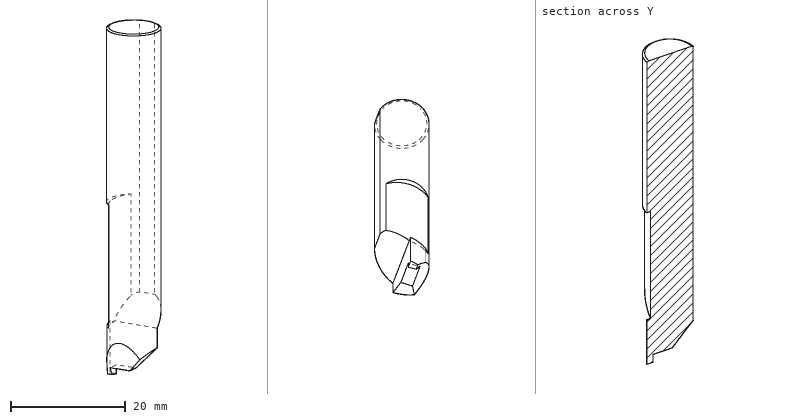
import cadquery as cq
import math

shank_diameter = 9.525
shank_radius = shank_diameter / 2
overall_length = 63.5
locating_flat_depth = 0.255
top_chamfer_height = 0.22
top_chamfer_width = 0.4

cutting_end_length = 9.525

relief_bottom = 9.37
relief_top = 31.75
relief_depth = 0.75
relief_radius = 6.7

tip_width = 1.27
tip_clearance_angle = 7.5
tip_clearance_radius = 7.5
tip_end_depth = 1.47
tip_end_rise = 0.2

notch_height = 1.65
notch_floor_end = 0.47
heel_angle = 25.0

margin = 2 * shank_diameter
outer_clearance = 1.0


def make_shank():
    """Round bar with a chamfered top edge and a locating flat along +Y."""
    bar = cq.Workplane("XY").circle(shank_radius).extrude(overall_length)
    bar = bar.faces(">Z").chamfer(top_chamfer_height, top_chamfer_width)
    flat_cut = cq.Workplane("XY").box(
        margin, margin, overall_length, centered=(True, False, False)
    )
    flat_y = shank_radius - locating_flat_depth
    return bar.cut(flat_cut.translate((0, flat_y, 0)))


def along_x(points):
    """Prism with a (y, z) outline, reaching across the whole bar along X."""
    return cq.Workplane("YZ").polyline(points).close().extrude(margin, both=True)


def along_y(points):
    """Prism with an (x, z) outline, reaching across the whole bar along Y."""
    return cq.Workplane("XZ").polyline(points).close().extrude(margin, both=True)


def rake_face_cut():
    """Open the +Y half of the cutting end, running out at 45 degrees."""
    return along_x([
        (0, -margin),
        (0, cutting_end_length),
        (margin, cutting_end_length + margin),
        (margin, -margin),
    ])


def neck_relief_cut():
    """Space on the -X side outside a large, shallow cylinder."""
    height = relief_top - relief_bottom
    center_x = relief_radius - shank_radius + relief_depth
    block = cq.Workplane("XY").box(
        shank_radius + outer_clearance, margin, height, centered=(False, True, False)
    )
    block = block.translate((-shank_radius - outer_clearance, 0, 0))
    kept = cq.Workplane("XY").center(center_x, 0).circle(relief_radius).extrude(height)
    return block.cut(kept).translate((0, 0, relief_bottom))


def side_clearance_cut():
    """Rounded clearance on the -X side, falling away from the cutting edge."""
    angle = math.radians(tip_clearance_angle)
    center_x = -shank_radius + tip_clearance_radius * math.cos(angle)
    center_y = tip_clearance_radius * math.sin(angle)
    block = cq.Workplane("XY").box(
        shank_radius + outer_clearance, margin, relief_bottom, centered=False
    )
    block = block.translate((-shank_radius - outer_clearance, -margin, 0))
    kept = cq.Workplane("XY").center(center_x, center_y).circle(tip_clearance_radius)
    return block.cut(kept.extrude(relief_bottom))


def heel_cut():
    """Sloping heel on the -Y side, with a slight rise under the tip."""
    run = math.tan(math.radians(heel_angle))
    return along_x([
        (0, 0),
        (-tip_end_depth, tip_end_rise),
        (-tip_end_depth - margin * run, tip_end_rise + margin),
        (-margin, -margin),
        (0, -margin),
    ])


def end_notch_cut():
    """Step beside the tip, leaving the bar at 45 degrees on the +X side."""
    tip_inner_x = -shank_radius + tip_width
    return along_y([
        (tip_inner_x, -margin),
        (tip_inner_x, notch_height),
        (notch_floor_end, notch_height),
        (notch_floor_end + margin, notch_height + margin),
        (notch_floor_end + margin, -margin),
    ])


result = (
    make_shank()
    .cut(rake_face_cut())
    .cut(neck_relief_cut())
    .cut(side_clearance_cut())
    .cut(heel_cut())
    .cut(end_notch_cut())
)